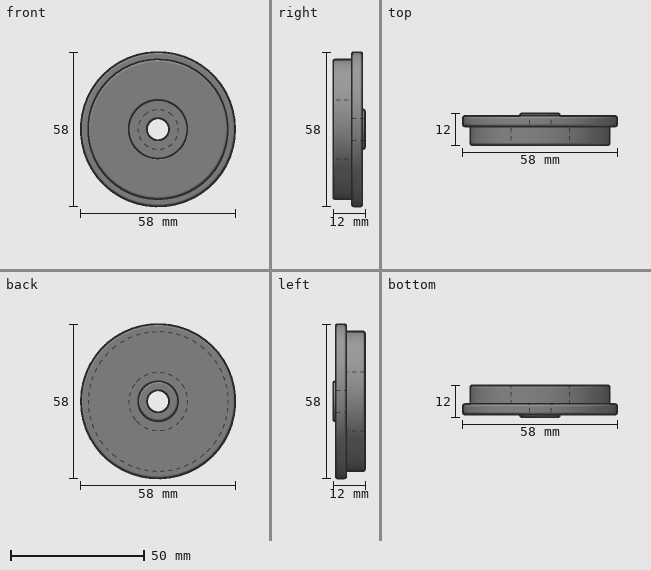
import cadquery as cq
import math

flange_diameter = 58.0
flange_thickness = 4.0
hub_diameter = 52.5
hub_length = 7.0
boss_diameter = 15.0
boss_height = 1.0
recess_diameter = 22.0
recess_depth = 7.0
bore_diameter = 8.2
rim_fillet = 1.0
boss_fillet = 0.9
mouth_fillet = 0.6

hub_face = -hub_length
flange_back = flange_thickness
boss_face = flange_back + boss_height
recess_floor = hub_face + recess_depth


def disc(diameter, start, end):
    """Solid cylinder about the Y axis between two Y positions."""
    return cq.Workplane("XZ", origin=(0, start, 0)).circle(diameter / 2).extrude(start - end)


def mouth(diameter, face):
    """Flared cutter that rounds the -Y mouth of a round opening."""
    radius = diameter / 2
    arc_drop = mouth_fillet * (1 - math.sqrt(0.5))
    return cq.Workplane("XY").moveTo(0, face).lineTo(radius + mouth_fillet, face).threePointArc(
        (radius + arc_drop, face + arc_drop),
        (radius, face + mouth_fillet),
    ).lineTo(0, face + mouth_fillet).close().revolve(360, (0, 0, 0), (0, 1, 0))


flange = disc(flange_diameter, 0, flange_back).edges().fillet(rim_fillet)
hub = disc(hub_diameter, hub_face, flange_back / 2).edges("<Y").fillet(rim_fillet)
boss = disc(boss_diameter, flange_back / 2, boss_face).edges(">Y").fillet(boss_fillet)
body = flange.union(hub).union(boss)

recess = disc(recess_diameter, hub_face, recess_floor).union(mouth(recess_diameter, hub_face))
bore = disc(bore_diameter, hub_face, boss_face).union(mouth(bore_diameter, recess_floor))

result = body.cut(recess).cut(bore)